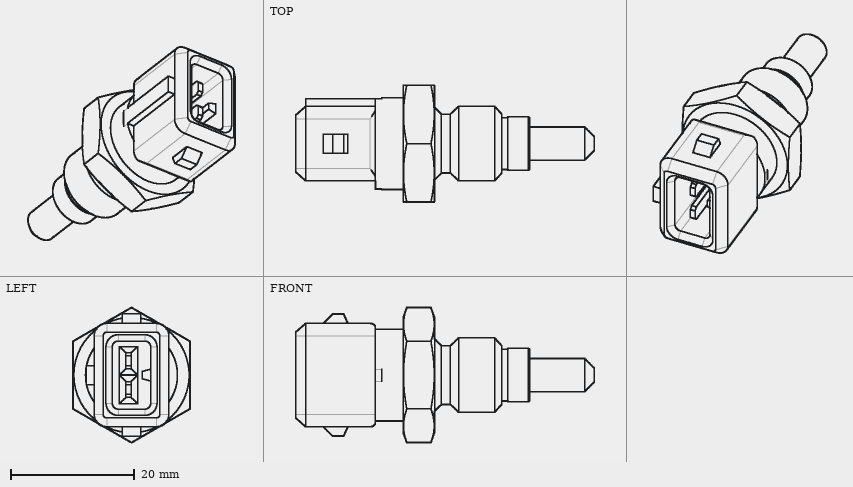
import cadquery as cq
import math


housing_length = 12.95
housing_width = 12.12
housing_height = 16.85
housing_corner_radius = 2.05
front_bevel_length = 1.65
front_bevel_inset = 1.45
rear_round_length = 0.85
rear_round_radius = 1.0

cavity_depth = 10.0
cavity_width = 6.25
cavity_height = 11.05
cavity_corner_radius = 0.95
mouth_bevel = 1.0

terminal_y = 0.5
terminal_pitch = 4.65
terminal_base_width = 2.95
terminal_base_height = 4.6
terminal_base_length = 1.0
blade_thickness = 0.82
blade_height = 2.55
blade_tip_x = 2.2
blade_tip_bevel = 0.5

rib_start = 3.0
rib_depth = 1.35
rib_root_width = 1.95
rib_crest_width = 1.2

latch_width = 3.05
latch_height = 1.5
latch_foot_start = 4.5
latch_crest_start = 6.0
latch_crest_end = 7.8
latch_foot_end = 8.5

collar_radius = 7.45
key_width = 3.05
plain_flat_width = 1.95
flat_length = 1.0

hex_start = 17.45
hex_end = 22.55
hex_across_flats = 19.0
hex_bevel_length = 0.6
hex_face_radius = 9.35

flare_radius = 5.9
neck_radius = 4.8
neck_start = 23.65
neck_end = 25.1
body_radius = 6.05
body_start = 26.5
body_end = 32.3
body_bevel_end = 33.45
shank_radius = 4.2
shank_end = 34.45
sleeve_radius = 4.35
sleeve_end = 38.0
sleeve_bevel = 0.25
probe_radius = 2.7
probe_bevel = 1.6
overall_length = 48.5

hex_across_corners = hex_across_flats / math.cos(math.pi / 6)
half_height = housing_height / 2
half_width = housing_width / 2


def rounded_block(width, height, radius, start, end):
    """Block along X with rounded long edges."""
    block = cq.Workplane("YZ").workplane(offset=start).rect(width, height).extrude(end - start)
    return block.edges("|X").fillet(radius)


def box(x_range, y_range, z_range):
    """Box between pairs of X, Y and Z limits."""
    sizes = [end - start for start, end in (x_range, y_range, z_range)]
    corner = (x_range[0], y_range[0], z_range[0])
    return cq.Workplane("XY").box(*sizes, centered=False).translate(corner)


def revolve_profile(points):
    """Solid of revolution about X from (x, radius) points."""
    return cq.Workplane("XY").polyline(points).close().revolve(360, (0, 0, 0), (1, 0, 0))


def make_housing():
    block = rounded_block(housing_width, housing_height, housing_corner_radius, 0, housing_length)
    block = block.faces("<X").chamfer(front_bevel_length, front_bevel_inset)
    round_start = housing_length - rear_round_length
    arc_centre_z = half_height - rear_round_radius
    arc_angle = math.asin(rear_round_length / rear_round_radius)
    arc_middle, arc_end = [
        (round_start + rear_round_radius * math.sin(a), arc_centre_z + rear_round_radius * math.cos(a))
        for a in (arc_angle / 2, arc_angle)
    ]
    waste = (
        cq.Workplane("XZ")
        .moveTo(round_start, half_height)
        .threePointArc(arc_middle, arc_end)
        .lineTo(housing_length, half_height)
        .close()
        .extrude(half_width, both=True)
    )
    return block.cut(waste).cut(waste.mirror("XY"))


def make_cavity():
    cavity = rounded_block(cavity_width, cavity_height, cavity_corner_radius, 0, cavity_depth)
    mouth = rounded_block(
        cavity_width + 2 * mouth_bevel,
        cavity_height + 2 * mouth_bevel,
        cavity_corner_radius + mouth_bevel,
        0,
        2 * mouth_bevel,
    )
    mouth = mouth.faces(">X").chamfer(mouth_bevel)
    mouth = mouth.translate((-mouth_bevel, 0, 0))
    return cavity.union(mouth)


def make_rib():
    root_y = -cavity_width / 2
    crest_y = root_y + rib_depth
    return (
        cq.Workplane("YZ")
        .workplane(offset=rib_start)
        .polyline([
            (root_y, -rib_root_width / 2),
            (crest_y, -rib_crest_width / 2),
            (crest_y, rib_crest_width / 2),
            (root_y, rib_root_width / 2),
        ])
        .close()
        .extrude(cavity_depth - rib_start)
    )


def make_terminal(z):
    base = (
        cq.Workplane("YZ")
        .workplane(offset=cavity_depth)
        .rect(terminal_base_width, terminal_base_height)
        .workplane(offset=-terminal_base_length)
        .rect(blade_thickness, blade_height)
        .loft(ruled=True)
    )
    blade = (
        cq.Workplane("YZ")
        .workplane(offset=blade_tip_x)
        .rect(blade_thickness, blade_height)
        .extrude(cavity_depth - blade_tip_x)
        .faces("<X")
        .edges("|Y")
        .chamfer(blade_tip_bevel)
    )
    return base.union(blade).translate((0, terminal_y, z))


def make_latch():
    return (
        cq.Workplane("XZ")
        .polyline([
            (latch_foot_start, half_height),
            (latch_crest_start, half_height + latch_height),
            (latch_crest_end, half_height + latch_height),
            (latch_foot_end, half_height),
        ])
        .close()
        .extrude(latch_width / 2, both=True)
    )


def chord_distance(width):
    """Distance from the axis to a flat of the given width on the collar."""
    return math.sqrt(collar_radius**2 - (width / 2) ** 2)


def make_collar():
    collar = revolve_profile([
        (housing_length, 0),
        (housing_length, collar_radius),
        (hex_start, collar_radius),
        (hex_start, 0),
    ])
    flat_x = (housing_length, housing_length + flat_length)
    flat_z = (-collar_radius, collar_radius)
    key_flat = box(flat_x, (chord_distance(key_width), collar_radius), flat_z)
    plain_flat = box(flat_x, (-collar_radius, -chord_distance(plain_flat_width)), flat_z)
    return collar.cut(key_flat).cut(plain_flat)


def make_key():
    key_y = (0, chord_distance(key_width))
    return box((front_bevel_length, housing_length), key_y, (-key_width / 2, key_width / 2))


def make_hexagon():
    prism = (
        cq.Workplane("YZ")
        .workplane(offset=hex_start)
        .polygon(6, hex_across_corners)
        .extrude(hex_end - hex_start)
        .rotate((0, 0, 0), (1, 0, 0), 90)
    )
    corner_radius = hex_across_corners / 2
    envelope = revolve_profile([
        (hex_start, 0),
        (hex_start, hex_face_radius),
        (hex_start + hex_bevel_length, corner_radius),
        (hex_end - hex_bevel_length, corner_radius),
        (hex_end, hex_face_radius),
        (hex_end, 0),
    ])
    return prism.intersect(envelope)


def make_stem():
    return revolve_profile([
        (hex_end, 0),
        (hex_end, flare_radius),
        (neck_start, neck_radius),
        (neck_end, neck_radius),
        (body_start, body_radius),
        (body_end, body_radius),
        (body_bevel_end, neck_radius),
        (body_bevel_end, shank_radius),
        (shank_end, shank_radius),
        (shank_end, sleeve_radius),
        (sleeve_end - sleeve_bevel, sleeve_radius),
        (sleeve_end, sleeve_radius - sleeve_bevel),
        (sleeve_end, probe_radius),
        (overall_length - probe_bevel, probe_radius),
        (overall_length, probe_radius - probe_bevel),
        (overall_length, 0),
    ])


latch = make_latch()
plug = make_housing().union(make_key()).union(latch).union(latch.mirror("XY"))
plug = plug.cut(make_cavity()).union(make_rib())
for side in (-1, 1):
    plug = plug.union(make_terminal(side * terminal_pitch / 2))

result = plug.union(make_collar()).union(make_hexagon()).union(make_stem())